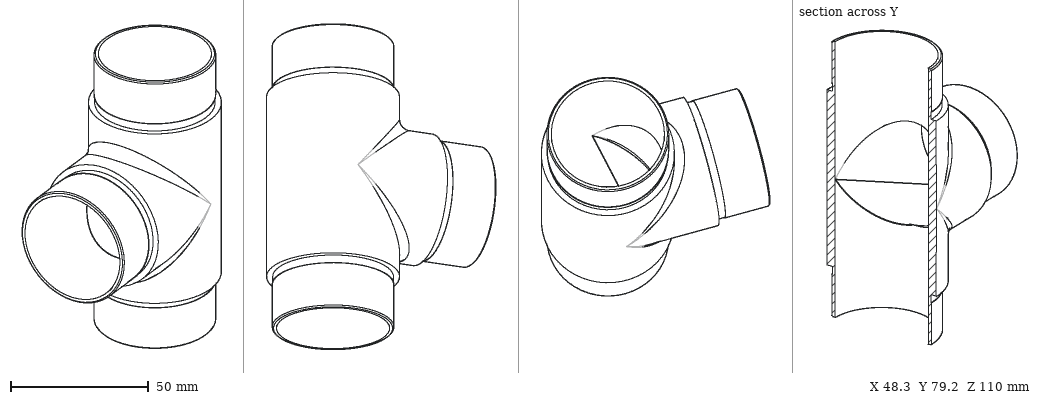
import cadquery as cq
import math

body_diameter = 48.3
bore_diameter = 41.0
spigot_diameter = 44.2
neck_diameter = 43.8
body_reach = 35.0
spigot_length = 20.0
neck_length = 3.0
end_chamfer = 0.5
crotch_radius = 4.0

web_thickness = 0.2
web_embed = 0.5
web_edge_rise = 6.0

body_radius = body_diameter / 2
bore_radius = bore_diameter / 2
end_reach = body_reach + spigot_length
blend_reach = body_radius + crotch_radius

UP = cq.Vector(0, 0, 1)
DOWN = cq.Vector(0, 0, -1)
BRANCH = cq.Vector(0, -1, 0)


def cylinder(diameter, start, end, direction):
    """Cylinder along direction, between two distances from the tee centre."""
    solid = cq.Solid.makeCylinder(diameter / 2, end - start, direction * start, direction)
    return cq.Workplane(obj=solid)


def side_prism(points, half_width):
    """Prism along X, centred on the YZ plane, with corners (y, z)."""
    return cq.Workplane("YZ").polyline(points).close().extrude(half_width, both=True)


def branch_wedge(forward, rise):
    """Oversize wedge opening towards the branch, its edge on the X axis.

    Its two faces slope by rise over forward.
    """
    far_y = -end_reach
    half_height = end_reach * rise / forward
    return side_prism([(0, 0), (far_y, half_height), (far_y, -half_height)], body_diameter)


def crotch_blend():
    """Rolling-ball blend above the branch, between the run and branch walls.

    The ball's centre follows the ellipse where the two walls, offset by the
    blend radius, meet on the 45 degree mitre plane. The tangent lines lie in
    two planes through the X axis, which bound the blend.
    """
    mitre_plane = cq.Plane(origin=(0, 0, 0), xDir=(1, 0, 0), normal=(0, 1, 1))
    centre_path = cq.Workplane(mitre_plane).ellipse(blend_reach, blend_reach * math.sqrt(2))
    ball_plane = cq.Plane(origin=(blend_reach, 0, 0), xDir=(1, 0, 0), normal=(0, 1, -1))
    ball_sweep = cq.Workplane(ball_plane).circle(crotch_radius).sweep(centre_path)

    corner = side_prism(
        [
            (0, 0),
            (-body_radius, blend_reach),
            (-blend_reach, blend_reach),
            (-blend_reach, body_radius),
        ],
        body_radius,
    )
    inside_crotch = (0, -bore_radius, bore_radius)
    pieces = corner.cut(ball_sweep)
    return pieces.solids(cq.selectors.NearestToPointSelector(inside_crotch))


def tee_body():
    """Run and branch of equal diameter, joined by blends above and below."""
    run = cylinder(body_diameter, -body_reach, body_reach, UP)
    run = run.cut(branch_wedge(body_radius, blend_reach))
    branch = cylinder(body_diameter, 0, body_reach, BRANCH)
    branch = branch.intersect(branch_wedge(blend_reach, body_radius))
    upper_blend = crotch_blend()
    lower_blend = upper_blend.mirror("XY")
    body = run
    for piece in (branch, upper_blend, lower_blend):
        body = body.union(piece, clean=False)
    return body


def spigot(direction):
    """Relieved neck and chamfered spigot beyond one shoulder."""
    sleeve_start = body_reach + neck_length
    neck = cylinder(neck_diameter, body_reach, sleeve_start, direction)
    sleeve = cylinder(spigot_diameter, sleeve_start, end_reach, direction)
    end_face = cq.selectors.DirectionMinMaxSelector(direction)
    sleeve = sleeve.faces(end_face).edges().chamfer(end_chamfer)
    return neck.union(sleeve)


def bores(diameter):
    """Through passage of the run joined by the passage of the branch."""
    run_bore = cylinder(diameter, -end_reach, end_reach, UP)
    branch_bore = cylinder(diameter, 0, end_reach, BRANCH)
    return run_bore.union(branch_bore)


def deflector_web():
    """Thin flat web from the lower crotch up to a slanted edge near the X axis."""
    edge_right = cq.Vector(bore_radius, 0, 0)
    edge_left_x = -math.sqrt(bore_radius**2 - web_edge_rise**2)
    edge_left = cq.Vector(edge_left_x, -web_edge_rise, web_edge_rise)
    lower_crotch = cq.Vector(0, -bore_radius, -bore_radius)

    edge_direction = edge_left - edge_right
    web_normal = edge_direction.cross(lower_crotch - edge_right)
    web_plane = cq.Plane(origin=edge_right, xDir=edge_direction, normal=web_normal)
    sheet_size = 2 * body_diameter
    sheet = (
        cq.Workplane(web_plane)
        .center(edge_direction.Length / 2, sheet_size / 2)
        .rect(sheet_size, sheet_size)
        .extrude(web_thickness)
    )
    return sheet.intersect(bores(bore_diameter + 2 * web_embed))


result = tee_body()
for outlet in (UP, DOWN, BRANCH):
    result = result.union(spigot(outlet), clean=False)
result = result.cut(bores(bore_diameter), clean=False)
result = result.union(deflector_web(), clean=False)